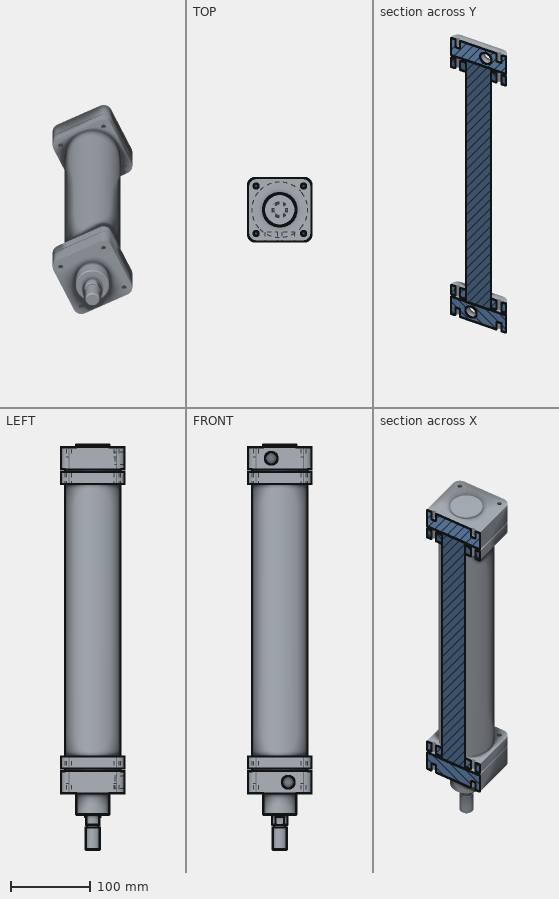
import cadquery as cq

TOTAL_LENGTH = 511.0

BLOCK_SIDE = 80.0
BLOCK_CORNER_RADIUS = 10.0
CAP_THICKNESS = 28.0
FLANGE_THICKNESS = 15.5
CAP_FLANGE_GAP = 3.0

SCREW_HOLE_DIAMETER = 6.0
SCREW_HOLE_DEPTH = 12.5
SCREW_SPACING = 2 * (BLOCK_SIDE / 2 - BLOCK_CORNER_RADIUS)

PORT_DIAMETER = 16.0
PORT_DEPTH = 12.5
PORT_OFFSET = 10.5

BOSS_DIAMETER = 42.0
BOSS_CHAMFER = 1.0
REAR_BOSS_HEIGHT = 3.5
FRONT_NOSE_LENGTH = 27.0

BARREL_DIAMETER = 70.0

SHANK_DIAMETER = 20.0
SHANK_LENGTH = 13.0
SHANK_CHAMFER = 0.75
WRENCH_WIDTH = 17.0
FLAT_LENGTH = 10.0
NECK_DIAMETER = 15.0
NECK_LENGTH = 3.0
THREAD_DIAMETER = 18.0
THREAD_LENGTH = 28.5
THREAD_CHAMFER = 1.5

NECK_BOTTOM = THREAD_LENGTH
SHANK_BOTTOM = NECK_BOTTOM + NECK_LENGTH
NOSE_BOTTOM = SHANK_BOTTOM + SHANK_LENGTH
FRONT_CAP_BOTTOM = NOSE_BOTTOM + FRONT_NOSE_LENGTH
BARREL_BOTTOM = FRONT_CAP_BOTTOM + CAP_THICKNESS
FRONT_FLANGE_BOTTOM = BARREL_BOTTOM + CAP_FLANGE_GAP
REAR_CAP_TOP = TOTAL_LENGTH - REAR_BOSS_HEIGHT
BARREL_TOP = REAR_CAP_TOP - CAP_THICKNESS
REAR_FLANGE_BOTTOM = BARREL_TOP - CAP_FLANGE_GAP - FLANGE_THICKNESS


def make_cylinder(diameter, length, bottom):
    """Upright cylinder on the Z axis."""
    return cq.Workplane("XY", origin=(0, 0, bottom)).circle(diameter / 2).extrude(length)


def make_block(thickness, bottom):
    """Square plate with rounded vertical corners."""
    block = cq.Workplane("XY", origin=(0, 0, bottom)).rect(BLOCK_SIDE, BLOCK_SIDE).extrude(thickness)
    return block.edges("|Z").fillet(BLOCK_CORNER_RADIUS)


def make_screw_holes(depth, bottom):
    """Cutting cylinders for the four corner screw holes."""
    layout = cq.Workplane("XY", origin=(0, 0, bottom)).rect(SCREW_SPACING, SCREW_SPACING, forConstruction=True)
    return layout.vertices().circle(SCREW_HOLE_DIAMETER / 2).extrude(depth)


def make_port(x, bottom):
    """Cutting cylinder for a blind port at mid-thickness of a cap, entering from -Y."""
    entry = cq.Workplane("XZ", origin=(x, -BLOCK_SIDE / 2, bottom + CAP_THICKNESS / 2))
    return entry.circle(PORT_DIAMETER / 2).extrude(-PORT_DEPTH)


def make_rear_cap():
    boss = make_cylinder(BOSS_DIAMETER, REAR_BOSS_HEIGHT, REAR_CAP_TOP)
    boss = boss.faces(">Z").chamfer(BOSS_CHAMFER)
    cap = make_block(CAP_THICKNESS, BARREL_TOP).union(boss)
    cap = cap.cut(make_screw_holes(SCREW_HOLE_DEPTH, REAR_CAP_TOP - SCREW_HOLE_DEPTH))
    return cap.cut(make_port(-PORT_OFFSET, BARREL_TOP))


def make_front_cap():
    nose = make_cylinder(BOSS_DIAMETER, FRONT_NOSE_LENGTH, NOSE_BOTTOM)
    nose = nose.faces("<Z").chamfer(BOSS_CHAMFER)
    cap = make_block(CAP_THICKNESS, FRONT_CAP_BOTTOM).union(nose)
    cap = cap.cut(make_screw_holes(SCREW_HOLE_DEPTH, FRONT_CAP_BOTTOM))
    return cap.cut(make_port(PORT_OFFSET, FRONT_CAP_BOTTOM))


def make_flange(bottom):
    """Clamp flange that surrounds the barrel."""
    flange = make_block(FLANGE_THICKNESS, bottom)
    flange = flange.cut(make_cylinder(BARREL_DIAMETER, FLANGE_THICKNESS, bottom))
    return flange.cut(make_screw_holes(FLANGE_THICKNESS, bottom))


def make_barrel():
    return make_cylinder(BARREL_DIAMETER, BARREL_TOP - BARREL_BOTTOM, BARREL_BOTTOM)


def make_rod():
    """Rod end that butts against the nose of the front cap."""
    shank = make_cylinder(SHANK_DIAMETER, SHANK_LENGTH, SHANK_BOTTOM)
    shank = shank.faces("<Z").chamfer(SHANK_CHAMFER)
    flat_zone = make_cylinder(SHANK_DIAMETER, FLAT_LENGTH, SHANK_BOTTOM)
    wrench_bar = cq.Workplane("XY", origin=(0, 0, SHANK_BOTTOM))
    wrench_bar = wrench_bar.rect(SHANK_DIAMETER, WRENCH_WIDTH).extrude(FLAT_LENGTH)
    shank = shank.cut(flat_zone.cut(wrench_bar))
    neck = make_cylinder(NECK_DIAMETER, NECK_LENGTH, NECK_BOTTOM)
    thread = make_cylinder(THREAD_DIAMETER, THREAD_LENGTH, 0)
    thread = thread.faces("<Z").chamfer(THREAD_CHAMFER)
    return shank.union(neck).union(thread)


rear_cap = make_rear_cap()
front_cap = make_front_cap()
barrel = make_barrel()
rod = make_rod()
flanges = [make_flange(bottom) for bottom in (FRONT_FLANGE_BOTTOM, REAR_FLANGE_BOTTOM)]

result = cq.Compound.makeCompound([
    rear_cap.val(),
    front_cap.val(),
    barrel.val(),
    rod.val(),
    *[flange.val() for flange in flanges],
])